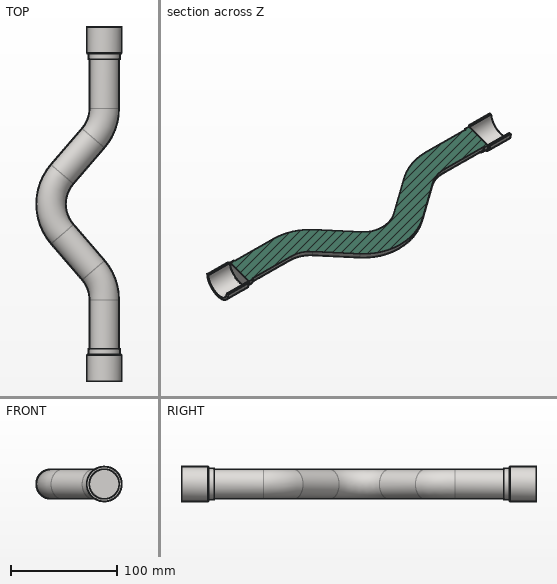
import cadquery as cq
import math

total_length = 333.0
tube_diameter = 28.0

bend_radius = 43.0
middle_offset = 50.0
bend_start = 90.0

socket_diameter = 33.0
socket_length = 25.5
rim_chamfer = 1.0
collar_diameter = 30.0
collar_length = 5.0
bore_diameter = 28.0
bore_depth = socket_length

half_length = total_length / 2

bend_diameter = 2 * bend_radius
centre_gap_x = bend_diameter - middle_offset
sloped_length = math.sqrt(centre_gap_x**2 + bend_start**2 - bend_diameter**2)
bend_angle = math.atan2(bend_start, centre_gap_x) - math.atan2(sloped_length, bend_diameter)


def bend_reach(angle):
    """Travel along Y after turning through the angle from the Y direction."""
    return bend_radius * math.sin(angle)


def bend_shift(angle):
    """Travel along X after turning through the angle from the Y direction."""
    return bend_radius * (1 - math.cos(angle))


def outer_bend_point(side, angle):
    """Point on the outer bend at Y side -1 or +1, at an angle from its straight end."""
    return (-bend_shift(angle), side * (bend_start - bend_reach(angle)))


def middle_bend_point(side):
    """End of the middle bend at Y side -1 or +1."""
    return (bend_shift(bend_angle) - middle_offset, side * bend_reach(bend_angle))


def make_tube():
    """Solid round tube swept along the full bent centreline."""
    centreline = (
        cq.Workplane("XY")
        .moveTo(0, -half_length)
        .lineTo(0, -bend_start)
        .threePointArc(outer_bend_point(-1, bend_angle / 2), outer_bend_point(-1, bend_angle))
        .lineTo(*middle_bend_point(-1))
        .threePointArc((-middle_offset, 0), middle_bend_point(1))
        .lineTo(*outer_bend_point(1, bend_angle))
        .threePointArc(outer_bend_point(1, bend_angle / 2), (0, bend_start))
        .lineTo(0, half_length)
    )
    section = cq.Workplane("XZ", origin=(0, -half_length, 0)).circle(tube_diameter / 2)
    return section.sweep(centreline)


def make_socket():
    """Socket with chamfered rim and collar at the -Y end, turned about the Y axis."""
    socket_radius = socket_diameter / 2
    collar_radius = collar_diameter / 2
    socket_end = -half_length + socket_length
    collar_end = socket_end + collar_length
    profile = (
        cq.Workplane("XY")
        .moveTo(0, -half_length)
        .lineTo(socket_radius, -half_length)
        .lineTo(socket_radius, socket_end - rim_chamfer)
        .lineTo(socket_radius - rim_chamfer, socket_end)
        .lineTo(collar_radius, socket_end)
        .lineTo(collar_radius, collar_end)
        .lineTo(0, collar_end)
        .close()
    )
    return profile.revolve(360, (0, 0, 0), (0, 1, 0))


def make_bore():
    """Blind bore entering the -Y end face."""
    mouth = cq.Workplane("XZ", origin=(0, -half_length, 0))
    return mouth.circle(bore_diameter / 2).extrude(-bore_depth)


def at_both_ends(feature):
    """The feature together with its mirror image at the +Y end."""
    return feature.union(feature.mirror("XZ"))


tube_with_sockets = make_tube().union(at_both_ends(make_socket()))
result = tube_with_sockets.cut(at_both_ends(make_bore())).solids()